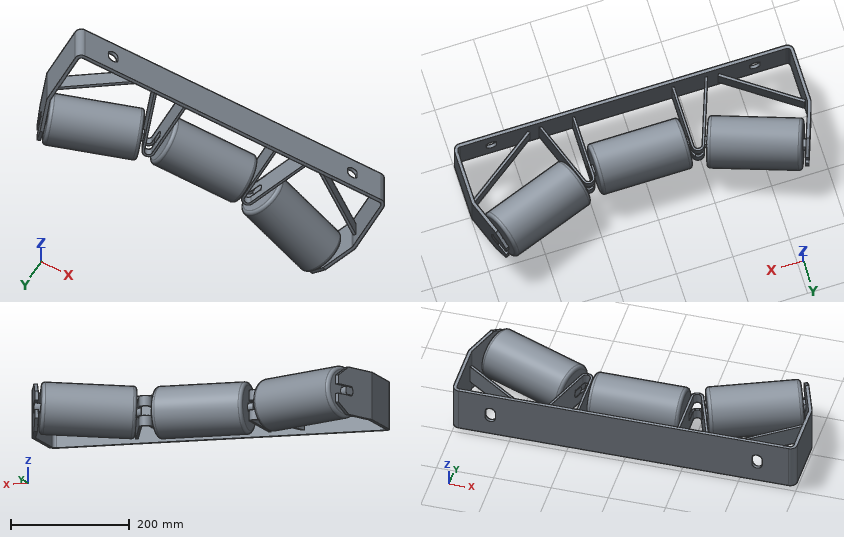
import cadquery as cq
import math

frame_width = 600.0
frame_height = 81.0
frame_sheet = 6.0
frame_bend_radius = 9.0
arm_angle = 20.0
arm_bend_y = 107.5
arm_tip_y = 196.0
arm_chamfer_length = 29.0
arm_chamfer_height = 17.5
bolt_slot_x = 233.0
bolt_slot_width = 18.0
bolt_slot_height = 28.0

bracket_sheet = 4.0
bracket_height = 51.5
bracket_bend_radius = 9.0
bracket_top_y = 127.0
straight_leg_x = 86.0
bracket_z = -7.0

brace_sheet = 5.0
brace_height = 33.0
brace_side_y = 95.0
brace_back_x = 168.5

roller_diameter = 89.0
roller_length = 161.0
roller_edge_radius = 6.0
shaft_diameter = 20.0
shaft_flats = 14.0
shaft_slot_height = 16.0
middle_axis_y = 98.5
side_axis_y = 167.5

half_width = frame_width / 2
lean = math.radians(arm_angle)
inner_x = half_width - frame_sheet
bracket_outer_radius = bracket_bend_radius + bracket_sheet / 2
bend_center_x = -straight_leg_x - bracket_outer_radius
bend_center_y = bracket_top_y - bracket_outer_radius


def arm_outer_x(y):
    """X of the left arm's outer face at the given Y."""
    return -half_width + (y - arm_bend_y) * math.tan(lean)


axis_start_x = arm_outer_x(side_axis_y)
bend_distance = ((bend_center_x - axis_start_x) * math.cos(lean)
                 - (bend_center_y - side_axis_y) * math.sin(lean))
side_span = bend_distance - bracket_outer_radius + bracket_sheet
middle_span = 2 * (straight_leg_x + bracket_sheet)
side_gap_center = (side_span + frame_sheet - bracket_sheet) / 2
axis_tilt = math.degrees(math.atan2(-bracket_z, side_span))


def bent_sheet(points, bend_radius, thickness, height, z):
    """Sheet following a plan path, with round bends at its inner corners."""
    corners = [cq.Vector(x, y, z) for x, y in points]
    path = cq.Wire.makePolygon(corners).fillet(bend_radius)
    start = cq.Plane(origin=corners[0], xDir=(0, 0, 1), normal=corners[1] - corners[0])
    return cq.Workplane(start).rect(height, thickness).sweep(cq.Workplane(obj=path))


def mirrored(body):
    """The body's twin on the other side of the YZ plane."""
    return body.mirror("YZ")


def on_middle_axis(body):
    return body.translate((0, middle_axis_y, bracket_z))


def on_side_axis(body):
    """Move a body from the X axis to the left roller's axis, which drops towards the middle."""
    return (
        body.translate((side_gap_center, 0, 0))
        .rotate((0, 0, 0), (0, 1, 0), axis_tilt)
        .rotate((0, 0, 0), (0, 0, 1), -arm_angle)
        .translate((axis_start_x, side_axis_y, 0))
    )


def rod(diameter, length):
    """Cylinder along X, centered on the origin."""
    return cq.Workplane("YZ", origin=(-length / 2, 0, 0)).circle(diameter / 2).extrude(length)


def flatted_bar(length, width):
    """Round bar of the shaft diameter along X, flattened above and below to the given width."""
    flats = cq.Workplane("XY").box(length, shaft_diameter, width)
    return rod(shaft_diameter, length).intersect(flats)


def make_roller(shaft_start, shaft_end):
    roller = rod(roller_diameter, roller_length).edges("%CIRCLE").fillet(roller_edge_radius)
    shaft_length = shaft_end - shaft_start
    shaft_center = (shaft_start + shaft_end) / 2
    shaft = flatted_bar(shaft_length, shaft_flats).translate((shaft_center, 0, 0))
    return roller.union(shaft)


def shaft_slot(length):
    """Cutter that holds the shaft at its rounded end and opens towards +Y."""
    reach = 2 * roller_diameter
    opening = cq.Workplane("XY").box(length, reach, shaft_slot_height).translate((0, reach / 2, 0))
    return flatted_bar(length, shaft_slot_height).union(opening)


def make_frame():
    half_sheet = frame_sheet / 2
    mid_x = half_width - half_sheet
    mid_bend_y = arm_bend_y - half_sheet * math.tan(lean / 2)
    mid_tip_y = arm_tip_y - half_sheet * math.sin(lean)
    mid_tip_x = mid_x - (mid_tip_y - mid_bend_y) * math.tan(lean)
    left = [(-mid_tip_x, mid_tip_y), (-mid_x, mid_bend_y), (-mid_x, half_sheet)]
    right = [(-x, y) for x, y in reversed(left)]
    frame = bent_sheet(left + right, frame_bend_radius, frame_sheet, frame_height, 0)

    bolt_slots = (
        cq.Workplane("XZ").pushPoints([(-bolt_slot_x, 0), (bolt_slot_x, 0)])
        .slot2D(bolt_slot_height, bolt_slot_width, 90).extrude(-2 * frame_sheet)
    )
    frame = frame.cut(bolt_slots)

    tip_plane = cq.Plane(
        origin=(-mid_tip_x, mid_tip_y, 0),
        xDir=(math.sin(lean), math.cos(lean), 0),
        normal=(-math.cos(lean), math.sin(lean), 0),
    )
    half_height = frame_height / 2
    for side in (-1, 1):
        corner = (
            cq.Workplane(tip_plane)
            .moveTo(0, side * half_height)
            .lineTo(-arm_chamfer_length, side * half_height)
            .lineTo(0, side * (half_height - arm_chamfer_height))
            .close().extrude(frame_sheet, both=True)
        )
        frame = frame.cut(corner).cut(mirrored(corner))

    slot_length = 4 * frame_sheet
    slot = on_side_axis(shaft_slot(slot_length).translate((-side_gap_center, 0, 0)))
    return frame.cut(slot).cut(mirrored(slot))


def make_left_bracket():
    apex_y = bend_center_y + bracket_bend_radius / math.tan(lean / 2)
    leg_x = -straight_leg_x - bracket_sheet / 2
    foot_x = leg_x - apex_y * math.tan(lean)
    path = [(leg_x, frame_sheet), (leg_x, apex_y), (foot_x, 0)]
    bracket = bent_sheet(path, bracket_bend_radius, bracket_sheet, bracket_height, bracket_z)

    below_plate = cq.Workplane("XY").box(frame_width, 2 * frame_sheet, 2 * frame_height)
    bracket = bracket.cut(below_plate)

    slot_length = 2 * bracket_outer_radius
    inner_end = side_span - side_gap_center
    side_slot = on_side_axis(shaft_slot(slot_length).translate((inner_end, 0, 0)))
    middle_slot = on_middle_axis(shaft_slot(slot_length).translate((-middle_span / 2, 0, 0)))
    return bracket.cut(side_slot).cut(middle_slot)


def make_left_brace():
    run = inner_x - brace_back_x
    rise = brace_side_y - frame_sheet
    return (
        cq.Workplane("XY")
        .box(math.hypot(run, rise), brace_sheet, brace_height, centered=(False, False, True))
        .rotate((0, 0, 0), (0, 0, 1), -math.degrees(math.atan2(rise, run)))
        .translate((-inner_x, brace_side_y, 0))
    )


frame = make_frame()
middle_roller = on_middle_axis(make_roller(-middle_span / 2, middle_span / 2))
side_roller = on_side_axis(make_roller(-side_gap_center, side_span - side_gap_center))

bodies = [*frame.solids().vals(), *middle_roller.solids().vals()]
for left_body in (side_roller, make_left_bracket(), make_left_brace()):
    bodies.extend(left_body.solids().vals())
    bodies.extend(mirrored(left_body).solids().vals())

result = cq.Compound.makeCompound(bodies)